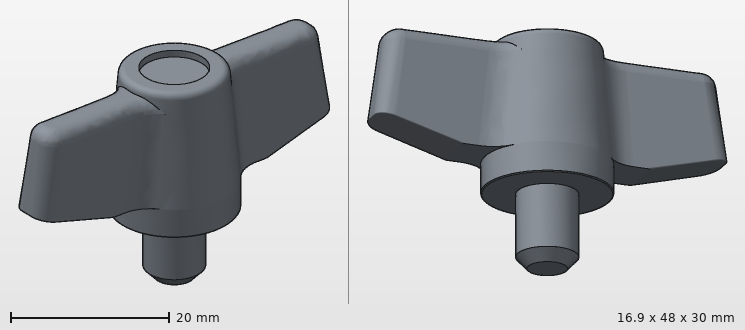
import cadquery as cq
import math

stud_diameter = 8.0
stud_tip_chamfer_height = 1.55
stud_tip_chamfer_width = 1.45
collar_diameter = 16.9
collar_bottom = 10.0
collar_top = 14.05
collar_edge_chamfer = 0.15

total_height = 30.0
hub_draft = 5.0
hub_edge_radius = 0.95
recess_diameter = 8.95
recess_depth = 0.95

span = 47.95
wing_top = 28.95
underside_slope = 15.2
wing_slope_start = 12.7
wing_drafted_side = 3.25
wing_upright_side = 3.25
upright_draft = 0.2
tip_draft = 6.6
flare_radius = 4.95
wing_edge_radius = 1.9
wing_tip_radius = 2.25
underside_edge_radius = 0.15
selection_margin = 0.05

tip_half_angle = (90 - tip_draft + underside_slope) / 2
tip_bisector = tip_half_angle - underside_slope
tip_shortening = underside_edge_radius * (
    math.cos(math.radians(tip_bisector)) / math.sin(math.radians(tip_half_angle)) - 1)
wing_reach = span / 2 + tip_shortening
underside_steepness = math.tan(math.radians(underside_slope))
wing_tip_bottom = collar_top + underside_steepness * (wing_reach - wing_slope_start)


def inset(height, draft):
    """Sideways shift of a drafted face over the given height."""
    return height * math.tan(math.radians(draft))


def make_hub(top):
    """Cone rising from the collar to the given height."""
    base_radius = collar_diameter / 2
    top_radius = base_radius - inset(top - collar_top, hub_draft)
    return (
        cq.Workplane("YZ")
        .polyline([(0, collar_top), (base_radius, collar_top), (top_radius, top), (0, top)])
        .close()
        .revolve(360, (0, 0), (0, 1))
    )


def wing_section(z):
    """Rectangular wire of the -Y wing at height z, starting at the hub axis."""
    rise = z - collar_top
    left = -wing_drafted_side + inset(rise, hub_draft)
    right = wing_upright_side - inset(rise, upright_draft)
    tip = -wing_reach + inset(z - wing_tip_bottom, tip_draft)
    corners = [(left, 0, z), (left, tip, z), (right, tip, z), (right, 0, z)]
    return cq.Wire.makePolygon([cq.Vector(*corner) for corner in corners], close=True)


def make_wing():
    """The -Y wing, with upright tip edges rounded and its underside sloped."""
    sections = [wing_section(collar_top), wing_section(wing_top)]
    wing = cq.Workplane(cq.Solid.makeLoft(sections, True))
    wing = wing.faces("<Y").edges("not #Z").fillet(wing_tip_radius)
    cut_end = span
    cut_height = collar_top + underside_steepness * (cut_end - wing_slope_start)
    underside = (
        cq.Workplane("YZ")
        .polyline([(-wing_slope_start, collar_top), (-cut_end, collar_top), (-cut_end, cut_height)])
        .close()
        .extrude(collar_diameter / 2, both=True)
    )
    wing = wing.cut(underside)
    sloped_face = wing.faces(cq.selectors.BoxSelector(
        (-collar_diameter, -wing_reach, collar_top + selection_margin),
        (collar_diameter, -wing_slope_start, wing_tip_bottom)))
    return sloped_face.edges("not(#Z and #Y)").fillet(underside_edge_radius)


def make_winged_body():
    """Two opposite wings flared into the hub and rounded along the top."""
    wing = make_wing()
    opposite_wing = wing.rotate((0, 0, 0), (0, 0, 1), 180)
    body = make_hub(wing_top).union(wing).union(opposite_wing)
    seam_reach = collar_diameter / 2
    seam_zone = cq.selectors.BoxSelector(
        (-seam_reach / 2, -seam_reach, collar_top + selection_margin),
        (seam_reach / 2, seam_reach, wing_top - selection_margin))
    body = body.edges(seam_zone).fillet(flare_radius)
    return body.faces(">Z").edges().fillet(wing_edge_radius)


def make_base():
    """Collar with a chamfered lower edge and a stud with a chamfered tip."""
    collar = (
        cq.Workplane("XY", origin=(0, 0, collar_bottom))
        .circle(collar_diameter / 2)
        .extrude(collar_top - collar_bottom)
        .faces("<Z").chamfer(collar_edge_chamfer)
    )
    stud = (
        cq.Workplane("XY")
        .circle(stud_diameter / 2)
        .extrude(collar_top)
        .faces("<Z").chamfer(stud_tip_chamfer_height, stud_tip_chamfer_width)
    )
    return collar.union(stud)


hub = make_hub(total_height).faces(">Z").edges().fillet(hub_edge_radius)
recess = (
    cq.Workplane("XY", origin=(0, 0, total_height - recess_depth))
    .circle(recess_diameter / 2)
    .extrude(recess_depth)
)
result = make_base().union(make_winged_body()).union(hub).cut(recess)